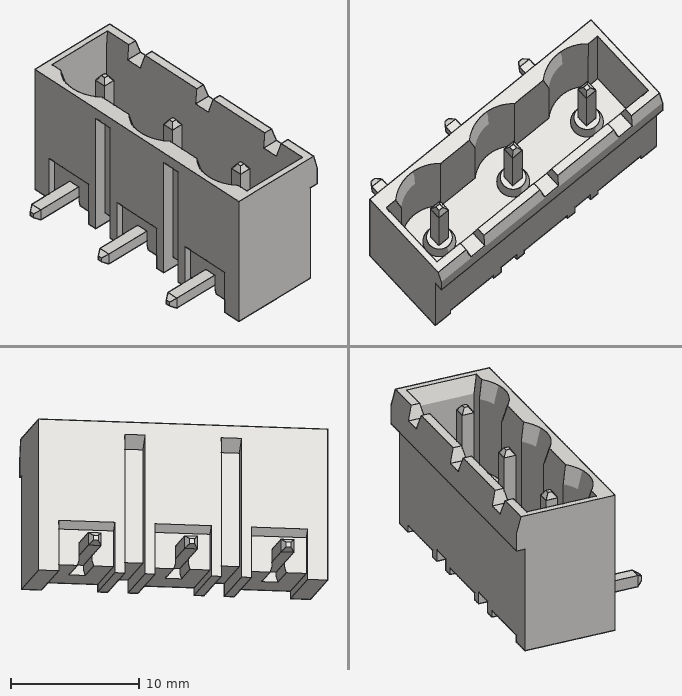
import cadquery as cq

POLES = 3
LENGTH = 22.85
HEIGHT = 12.0
BODY_DEPTH = 7.77
PITCH = LENGTH / POLES
OVERLAP = 0.23

LIP_OUT = 0.73
LIP_BOTTOM = 9.03
LIP_SLOPE_START = 10.6
LIP_TOP_OUT = 0.35

MOUTH_LENGTH = 21.83
MOUTH_FRONT = 1.37
MOUTH_BACK = 7.38
CAVITY_LENGTH = 21.25
CAVITY_FRONT = 1.71
CAVITY_BACK = 6.97
MOUTH_DEPTH = 1.53
CAVITY_FLOOR = 4.11
MOUTH_BOTTOM = HEIGHT - MOUTH_DEPTH

BAY_MOUTH_RADIUS = 3.43
BAY_RADIUS = 2.97
BAY_BACK = 2.51

NOTCH_FLOOR_WIDTH = 1.42
NOTCH_TOP_WIDTH = 1.83
NOTCH_FLOOR = 10.8

SLOT_WIDTH = 1.6
SLOT_DEPTH = 1.0
SLOT_TOP = 11.02
SLOT_SLOPE = 0.98
SLOT_UNDERSIDE = 1.03

RECESS_WIDTH = 4.43
RECESS_DEPTH = 0.6
RECESS_TOP = 4.0
RECESS_SLOPE = 0.57
RECESS_UNDERSIDE = 0.6

PIN_SIZE = 1.0
PIN_TIP_SIZE = 0.4
PIN_TIP_LENGTH = 0.48
PIN_Y = 3.89
PIN_TOP = 11.4
TAIL_Z = 1.9
TAIL_REACH = 4.0

COLLAR_RADIUS = 1.28
COLLAR_TOP_RADIUS = 1.0
COLLAR_HEIGHT = 0.91

ENTRY_MOUTH_WIDTH = 1.28
ENTRY_FLARE_TOP = 1.05

pole_positions = [(i - (POLES - 1) / 2) * PITCH for i in range(POLES)]
gap_positions = [x + PITCH / 2 for x in pole_positions[:-1]]


def block(x, width, y_min, y_max, z_min, z_max):
    """Box centred on x in X, between the given limits in Y and Z."""
    return (
        cq.Workplane("XY")
        .box(width, y_max - y_min, z_max - z_min, centered=(True, False, False))
        .translate((x, y_min, z_min))
    )


def side_profile(x, width, points):
    """Prism along X, centred on x, from (Y, Z) points."""
    return cq.Workplane("YZ").polyline(points).close().extrude(width / 2, both=True).translate((x, 0, 0))


def cone(x, z, radius, top_radius, height):
    """Upright cone frustum on a pin axis."""
    return cq.Workplane(
        cq.Solid.makeCone(radius, top_radius, height, pnt=cq.Vector(x, PIN_Y, z), dir=cq.Vector(0, 0, 1))
    )


def body():
    """Solid block with the latch lip along its back."""
    lip_y = BODY_DEPTH + LIP_OUT
    outline = [
        (0, 0),
        (BODY_DEPTH, 0),
        (BODY_DEPTH, LIP_BOTTOM),
        (lip_y, LIP_BOTTOM),
        (lip_y, LIP_SLOPE_START),
        (BODY_DEPTH + LIP_TOP_OUT, HEIGHT),
        (0, HEIGHT),
    ]
    return side_profile(0, LENGTH, outline)


def cavity():
    """Plug cavity: the overlap of its lengthwise and crosswise profiles."""
    cross_outline = [
        (CAVITY_FRONT, CAVITY_FLOOR),
        (CAVITY_BACK, CAVITY_FLOOR),
        (CAVITY_BACK, MOUTH_BOTTOM),
        (MOUTH_BACK, HEIGHT),
        (MOUTH_FRONT, HEIGHT),
        (CAVITY_FRONT, MOUTH_BOTTOM),
    ]
    length_outline = [
        (-CAVITY_LENGTH / 2, CAVITY_FLOOR),
        (CAVITY_LENGTH / 2, CAVITY_FLOOR),
        (CAVITY_LENGTH / 2, MOUTH_BOTTOM),
        (MOUTH_LENGTH / 2, HEIGHT),
        (-MOUTH_LENGTH / 2, HEIGHT),
        (-CAVITY_LENGTH / 2, MOUTH_BOTTOM),
    ]
    lengthwise = cq.Workplane("XZ").polyline(length_outline).close().extrude(-BODY_DEPTH)
    return side_profile(0, LENGTH, cross_outline).intersect(lengthwise)


def bay(x):
    """Round bay in the front wall, flared at the cavity mouth."""
    shaft = (
        cq.Workplane("XY", origin=(x, PIN_Y, CAVITY_FLOOR))
        .circle(BAY_RADIUS)
        .extrude(MOUTH_BOTTOM - CAVITY_FLOOR)
    )
    flare = cone(x, MOUTH_BOTTOM, BAY_RADIUS, BAY_MOUTH_RADIUS, MOUTH_DEPTH)
    front_part = block(x, 2 * BAY_MOUTH_RADIUS, 0, BAY_BACK, CAVITY_FLOOR, HEIGHT)
    return shaft.union(flare).intersect(front_part)


def latch_notch(x):
    """Notch through the back wall, wider at the top."""
    outline = [
        (x - NOTCH_FLOOR_WIDTH / 2, NOTCH_FLOOR),
        (x + NOTCH_FLOOR_WIDTH / 2, NOTCH_FLOOR),
        (x + NOTCH_TOP_WIDTH / 2, HEIGHT),
        (x - NOTCH_TOP_WIDTH / 2, HEIGHT),
    ]
    lip_y = BODY_DEPTH + LIP_OUT
    section = cq.Workplane("XZ", origin=(0, lip_y, 0)).polyline(outline).close()
    return section.extrude(lip_y - PIN_Y)


def front_recess(x, width, depth, top, slope, underside):
    """Recess with a sloped roof in the front face, passing under the body below its back face."""
    back = BODY_DEPTH + OVERLAP
    outline = [
        (0, 0),
        (back, 0),
        (back, underside),
        (depth, underside),
        (depth, top - slope),
        (0, top),
    ]
    return side_profile(x, width, outline)


def pin_entry(x):
    """Slit below the tail, flared at the underside, through which the bent pin enters."""
    half_pin = PIN_SIZE / 2
    half_mouth = ENTRY_MOUTH_WIDTH / 2
    outline = [
        (x - half_mouth, RECESS_UNDERSIDE),
        (x - half_pin, ENTRY_FLARE_TOP),
        (x - half_pin, TAIL_Z),
        (x + half_pin, TAIL_Z),
        (x + half_pin, ENTRY_FLARE_TOP),
        (x + half_mouth, RECESS_UNDERSIDE),
    ]
    pin_back = PIN_Y + half_pin
    return cq.Workplane("XZ", origin=(0, pin_back, 0)).polyline(outline).close().extrude(pin_back)


def square_bar(plane, length):
    """Square bar along the plane's normal, ending in a blunt pyramid tip."""
    shank_length = length - PIN_TIP_LENGTH
    shank = cq.Workplane(plane).rect(PIN_SIZE, PIN_SIZE).extrude(shank_length)
    tip = (
        cq.Workplane(plane)
        .workplane(offset=shank_length)
        .rect(PIN_SIZE, PIN_SIZE)
        .workplane(offset=PIN_TIP_LENGTH)
        .rect(PIN_TIP_SIZE, PIN_TIP_SIZE)
        .loft(ruled=True)
    )
    return shank.union(tip)


def bent_pin(x):
    """Upright contact post joined to a tail that leaves through the front."""
    bend_bottom = TAIL_Z - PIN_SIZE / 2
    post_plane = cq.Plane(origin=(x, PIN_Y, bend_bottom), xDir=(1, 0, 0), normal=(0, 0, 1))
    tail_plane = cq.Plane(origin=(x, PIN_Y, TAIL_Z), xDir=(1, 0, 0), normal=(0, -1, 0))
    post = square_bar(post_plane, PIN_TOP - bend_bottom)
    tail = square_bar(tail_plane, PIN_Y + TAIL_REACH)
    return post.union(tail)


result = body().cut(cavity())

for x in pole_positions:
    result = result.cut(bay(x))
    result = result.cut(latch_notch(x))
    result = result.cut(front_recess(x, RECESS_WIDTH, RECESS_DEPTH, RECESS_TOP, RECESS_SLOPE, RECESS_UNDERSIDE))
    result = result.cut(pin_entry(x))

for x in gap_positions:
    result = result.cut(front_recess(x, SLOT_WIDTH, SLOT_DEPTH, SLOT_TOP, SLOT_SLOPE, SLOT_UNDERSIDE))

for x in pole_positions:
    result = result.union(cone(x, CAVITY_FLOOR, COLLAR_RADIUS, COLLAR_TOP_RADIUS, COLLAR_HEIGHT))
    result = result.union(bent_pin(x))